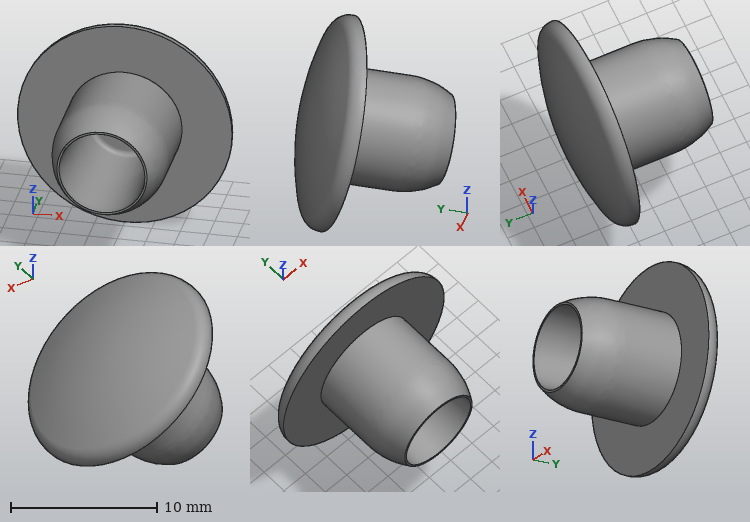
import cadquery as cq
import math

head_radius = 7.5
head_height = 2.35
band_height = 0.15
head_edge_radius = 1.0

post_radius = 4.0
post_length = 7.5
nose_length = 3.0
nose_tip_radius = 3.15

bore_mouth_radius = 3.0
mouth_length = 0.45
bore_depth = 8.0
bore_draft = math.radians(3)
floor_fillet = 0.38


def point_on_arc(center, radius, angle):
    return (center[0] + radius * math.cos(angle), center[1] + radius * math.sin(angle))


def make_head():
    """Disc whose edge rounding runs tangentially into a spherical dome."""
    edge_center = (head_radius - head_edge_radius, band_height)
    rise = head_height - band_height
    center_offset_squared = edge_center[0] ** 2 + rise ** 2
    dome_radius = (center_offset_squared - head_edge_radius ** 2) / (2 * (rise - head_edge_radius))
    dome_center = (0, head_height - dome_radius)
    joint_angle = math.atan2(edge_center[1] - dome_center[1], edge_center[0])
    return (
        cq.Workplane("XY")
        .lineTo(head_radius, 0)
        .lineTo(head_radius, band_height)
        .threePointArc(
            point_on_arc(edge_center, head_edge_radius, joint_angle / 2),
            point_on_arc(edge_center, head_edge_radius, joint_angle),
        )
        .threePointArc(
            point_on_arc(dome_center, dome_radius, (joint_angle + math.pi / 2) / 2),
            (0, head_height),
        )
        .close()
        .revolve(360, (0, 0), (0, 1))
    )


def make_post():
    """Solid post whose nose curves inward, tangent to the straight shank."""
    nose_start = post_length - nose_length
    return (
        cq.Workplane("XY")
        .lineTo(post_radius, 0)
        .lineTo(post_radius, -nose_start)
        .tangentArcPoint((nose_tip_radius, -post_length), relative=False)
        .lineTo(0, -post_length)
        .close()
        .revolve(360, (0, 0), (0, 1))
    )


def make_bore():
    """Blind bore: straight mouth, drafted wall and a filleted flat floor."""
    floor_y = bore_depth - post_length
    taper_length = bore_depth - mouth_length
    floor_radius = bore_mouth_radius - taper_length * math.tan(bore_draft)
    bore = (
        cq.Workplane("XY")
        .moveTo(0, -post_length)
        .lineTo(bore_mouth_radius, -post_length)
        .lineTo(bore_mouth_radius, mouth_length - post_length)
        .lineTo(floor_radius, floor_y)
        .lineTo(0, floor_y)
        .close()
        .revolve(360, (0, 0), (0, 1))
    )
    return bore.faces(">Y").edges().fillet(floor_fillet)


result = make_head().union(make_post()).cut(make_bore())